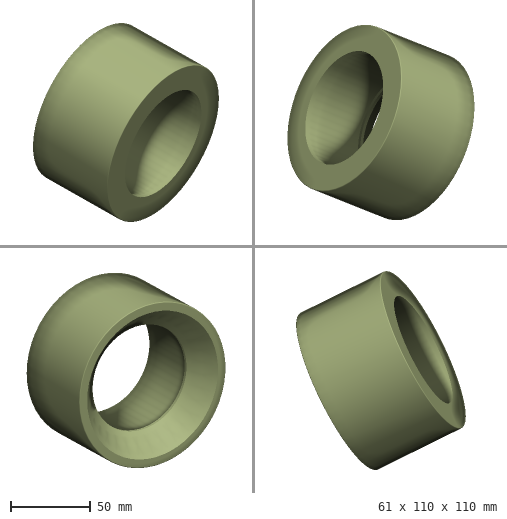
import cadquery as cq

outer_diameter = 110.0
ring_width = 61.0
mouth_diameter = 98.3
land_diameter = 70.6
rear_bore_diameter = 75.0
taper_depth = 15.1
land_width = 2.1
rim_radius = 0.5

front_x = -ring_width / 2
rear_x = ring_width / 2
land_start_x = front_x + taper_depth
land_end_x = land_start_x + land_width


def ring_body():
    """Solid cylinder with both outer rims rounded."""
    cylinder = (
        cq.Workplane("YZ")
        .workplane(offset=front_x)
        .circle(outer_diameter / 2)
        .extrude(ring_width)
    )
    return cylinder.edges().fillet(rim_radius)


def stepped_bore():
    """Tapered mouth, narrow land and wider rear bore, revolved about X."""
    profile = [
        (front_x, 0),
        (front_x, mouth_diameter / 2),
        (land_start_x, land_diameter / 2),
        (land_end_x, land_diameter / 2),
        (land_end_x, rear_bore_diameter / 2),
        (rear_x, rear_bore_diameter / 2),
        (rear_x, 0),
    ]
    return cq.Workplane("XY").polyline(profile).close().revolve(360, (0, 0, 0), (1, 0, 0))


result = ring_body().cut(stepped_bore())